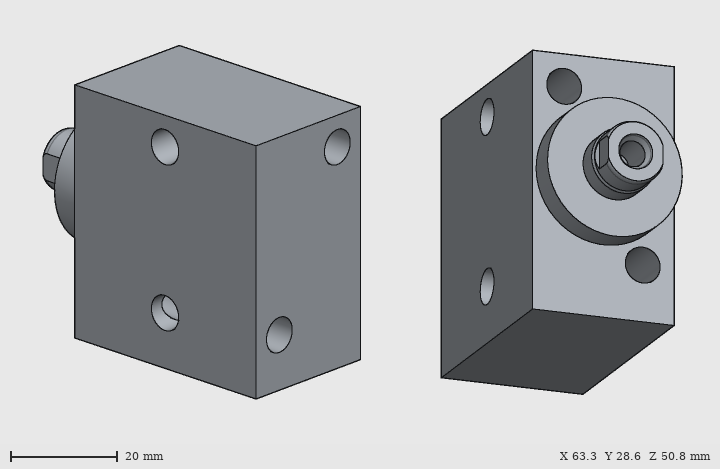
import cadquery as cq
import math


overall_length = 63.3
block_start = 16.5
block_length = overall_length - block_start
block_width = 28.55
block_height = 50.8
block_top = 23.05

collar_start = 10.65
collar_diameter = 27.15
rod_diameter = 12.85
rod_tip_diameter = 12.2
step_start = 5.65
step_end = 6.25
tip_round_length = 1.1
tip_end_diameter = 11.5

flat_spacing = 10.95
flat_length = 4.75

bore_diameter = 5.05
bore_depth = 10.1
bore_mouth_diameter = 6.85
mouth_taper_depth = 0.45
mouth_taper_diameter = 6.45
countersink_end = 1.65
drill_point_angle = 118.0

mount_diameter = 7.0
mount_height = 16.65
cross_hole_x = 39.8
long_hole_y = 7.9


def make_block():
    return cq.Workplane("XY").box(
        block_length, block_width, block_height, centered=(False, True, False)
    ).translate((block_start, 0, block_top - block_height))


def revolve_about_rod_axis(outline):
    """Revolve an open outline of (x, radius), starting at X = 0 on the axis, about the X axis."""
    return outline.close().revolve(360, (0, 0, 0), (1, 0, 0))


def make_rod_and_collar():
    """Stepped rod and collar; the rounded tip runs smoothly into the rod."""
    tip_radius = rod_tip_diameter / 2
    tip_end_radius = tip_end_diameter / 2
    rod_radius = rod_diameter / 2
    collar_radius = collar_diameter / 2
    tip_drop = tip_radius - tip_end_radius
    round_radius = (tip_round_length**2 + tip_drop**2) / (2 * tip_drop)
    half_angle = math.asin(tip_round_length / round_radius) / 2
    round_middle = (
        tip_round_length - round_radius * math.sin(half_angle),
        tip_radius - round_radius * (1 - math.cos(half_angle)),
    )
    outline = (
        cq.Workplane("XZ")
        .lineTo(0, tip_end_radius)
        .threePointArc(round_middle, (tip_round_length, tip_radius))
        .lineTo(step_start, tip_radius)
        .lineTo(step_end, rod_radius)
        .lineTo(collar_start, rod_radius)
        .lineTo(collar_start, collar_radius)
        .lineTo(block_start, collar_radius)
        .lineTo(block_start, 0)
    )
    return revolve_about_rod_axis(outline)


def make_flat_cutter(side):
    """Cutter for one wrench flat, ending in a 45 degree run-out; side is +1 or -1."""
    inner = flat_spacing / 2
    outer = rod_diameter / 2
    run_out = outer - inner
    return (
        cq.Workplane("XY")
        .polyline([
            (0, side * inner),
            (flat_length, side * inner),
            (flat_length + run_out, side * outer),
            (0, side * outer),
        ])
        .close()
        .extrude(rod_diameter / 2, both=True)
    )


def make_bore():
    """Blind hole with a two-stage tapered mouth and a drill-point bottom."""
    radius = bore_diameter / 2
    mouth_radius = bore_mouth_diameter / 2
    point_depth = radius / math.tan(math.radians(drill_point_angle / 2))
    outline = cq.Workplane("XZ").polyline([
        (0, 0),
        (0, mouth_radius),
        (mouth_taper_depth, mouth_taper_diameter / 2),
        (countersink_end, radius),
        (bore_depth, radius),
        (bore_depth + point_depth, 0),
    ])
    return revolve_about_rod_axis(outline)


def make_mounting_holes():
    """Two holes through the width and two diagonally placed through the length."""
    radius = mount_diameter / 2
    holes = cq.Workplane("XY")
    for side in (1, -1):
        z = side * mount_height
        cross_start = cq.Vector(cross_hole_x, -block_width / 2, z)
        long_start = cq.Vector(block_start, side * long_hole_y, z)
        holes = holes.add(cq.Solid.makeCylinder(radius, block_width, cross_start, cq.Vector(0, 1, 0)))
        holes = holes.add(cq.Solid.makeCylinder(radius, block_length, long_start, cq.Vector(1, 0, 0)))
    return holes.combine()


result = make_block().union(make_rod_and_collar())
for flat_side in (1, -1):
    result = result.cut(make_flat_cutter(flat_side))
result = result.cut(make_bore())
result = result.cut(make_mounting_holes())